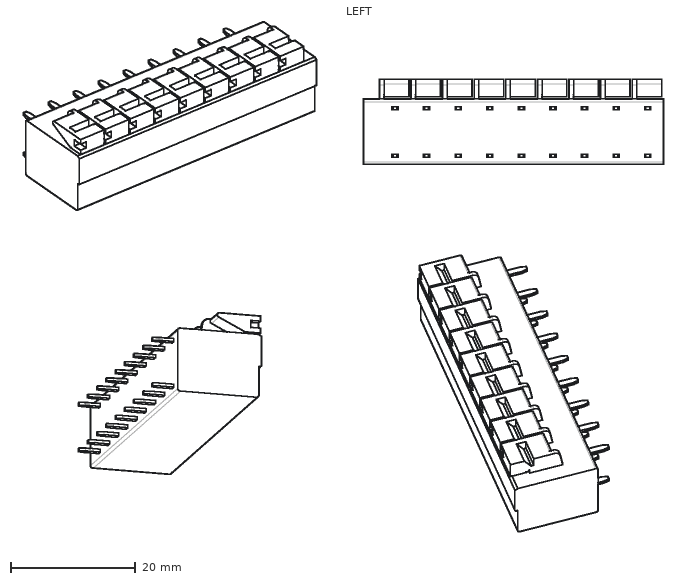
import cadquery as cq
import math


pole_count = 9
block_length = 48.25
total_depth = 17.6
total_height = 13.7
pitch = block_length / (pole_count + 0.5)

housing_front = 3.47
housing_height = 10.5
housing_round = 0.45
bevel_depth = 0.5
bevel_height = 0.3
step_depth = 0.45
step_height = 5.2
step_round = 0.25

pin_width = 1.0
pin_thickness = 0.5
pin_tip_width = 0.6
pin_taper_length = 0.95
pin_row_heights = (1.4, 9.02)
pin_root = 0.5

lever_width = 4.8
lever_offset = 0.3
lever_back = total_depth - 0.1
arm_thickness = 0.75
arm_front = 8.6
arm_foot_back = 14.25
arm_root = 0.5
arm_lean = math.radians(10)
arm_round = 1.05
lever_gap = 0.35
paddle_bottom = housing_height + lever_gap
paddle_nose = 10.25
nose_round = 0.4
paddle_heel = 14.85

groove_front = 13.55
groove_back = 15.15
groove_floor_back = 13.95
groove_depth = 1.65
groove_floor_dip = 0.15
groove_length = 3.9

recess_length = 1.65
recess_bottom = 11.7
recess_top = 12.85
recess_width = 1.15


def extrude_along_y(profile, y_start, width):
    """Extrude a closed XZ profile from y_start towards +Y."""
    return profile.extrude(-width).translate((0, y_start, 0))


def make_back_bevel():
    """Wedge removed along the upper back edge of the housing."""
    profile = (
        cq.Workplane("XZ")
        .moveTo(total_depth - bevel_depth, housing_height)
        .lineTo(total_depth, housing_height)
        .lineTo(total_depth, housing_height - bevel_height)
        .close()
    )
    return extrude_along_y(profile, 0, block_length)


def make_housing():
    lower_back = total_depth - step_depth
    profile = (
        cq.Workplane("XZ")
        .moveTo(housing_front, 0)
        .lineTo(lower_back, 0)
        .lineTo(lower_back, step_height)
        .lineTo(total_depth, step_height)
        .lineTo(total_depth, housing_height)
        .lineTo(housing_front, housing_height)
        .close()
    )
    housing = extrude_along_y(profile, 0, block_length)
    housing = housing.edges("|Y and (<X or <Z)").fillet(housing_round)
    housing = housing.cut(make_back_bevel())
    step_edge = cq.selectors.NearestToPointSelector((total_depth, block_length / 2, step_height))
    return housing.edges(step_edge).fillet(step_round)


def make_pin(y_center, z_center):
    """Flat pin that narrows towards its tip and is rooted inside the housing."""
    half_width = pin_width / 2
    half_tip = pin_tip_width / 2
    root_end = housing_front + pin_root
    return (
        cq.Workplane("XY")
        .polyline([
            (0, -half_tip),
            (pin_taper_length, -half_width),
            (root_end, -half_width),
            (root_end, half_width),
            (pin_taper_length, half_width),
            (0, half_tip),
        ])
        .close()
        .extrude(pin_thickness / 2, both=True)
        .translate((0, y_center, z_center))
    )


def make_arm():
    """Leaning arm with a rounded top that carries the paddle on the housing."""
    arc_center_z = total_height - arm_round
    arc_start_z = arc_center_z + arm_round * math.sin(arm_lean)
    arc_start_x = arm_front + (arc_start_z - housing_height) * math.tan(arm_lean)
    arc_center_x = arc_start_x + arm_round * math.cos(arm_lean)
    middle_angle = (math.pi / 2 + arm_lean) / 2
    arc_middle = (
        arc_center_x - arm_round * math.cos(middle_angle),
        arc_center_z + arm_round * math.sin(middle_angle),
    )
    root_z = housing_height - arm_root
    profile = (
        cq.Workplane("XZ")
        .moveTo(arm_front, root_z)
        .lineTo(arm_front, housing_height)
        .lineTo(arc_start_x, arc_start_z)
        .threePointArc(arc_middle, (arc_center_x, total_height))
        .lineTo(arm_foot_back, total_height)
        .lineTo(arm_foot_back, root_z)
        .close()
    )
    return extrude_along_y(profile, lever_width - arm_thickness, arm_thickness)


def make_paddle():
    """Wedge-shaped paddle with a round nose tangent to its top and to its sloping underside."""
    nose_x = paddle_nose + nose_round
    nose_z = total_height - nose_round
    heel_distance = math.hypot(paddle_heel - nose_x, nose_z - paddle_bottom)
    heel_angle = math.atan2(nose_z - paddle_bottom, paddle_heel - nose_x)
    slope = heel_angle - math.asin(nose_round / heel_distance)
    tangent_point = (nose_x - nose_round * math.sin(slope), nose_z - nose_round * math.cos(slope))
    profile = (
        cq.Workplane("XZ")
        .moveTo(paddle_heel, paddle_bottom)
        .lineTo(*tangent_point)
        .threePointArc((paddle_nose, nose_z), (nose_x, total_height))
        .lineTo(lever_back, total_height)
        .lineTo(lever_back, paddle_bottom)
        .close()
    )
    return extrude_along_y(profile, 0, lever_width)


def make_groove():
    groove_bottom = total_height - groove_depth
    profile = (
        cq.Workplane("XZ")
        .moveTo(groove_front, total_height)
        .lineTo(groove_front, groove_bottom + groove_floor_dip)
        .lineTo(groove_floor_back, groove_bottom)
        .lineTo(groove_back, total_height)
        .close()
    )
    return extrude_along_y(profile, lever_width - groove_length, groove_length)


def make_recess():
    recess_height = recess_top - recess_bottom
    return (
        cq.Workplane("XY")
        .box(recess_length, recess_width, recess_height, centered=False)
        .translate((lever_back - recess_length, 0, recess_bottom))
    )


def make_lever():
    """One lever whose -Y side lies at y = 0."""
    return make_paddle().union(make_arm()).cut(make_groove()).cut(make_recess())


result = make_housing()
lever = make_lever()
for pole in range(pole_count):
    pole_start = pole * pitch
    result = result.union(lever.translate((0, pole_start + lever_offset, 0)))
    for row_height in pin_row_heights:
        result = result.union(make_pin(pole_start + pitch / 2, row_height))